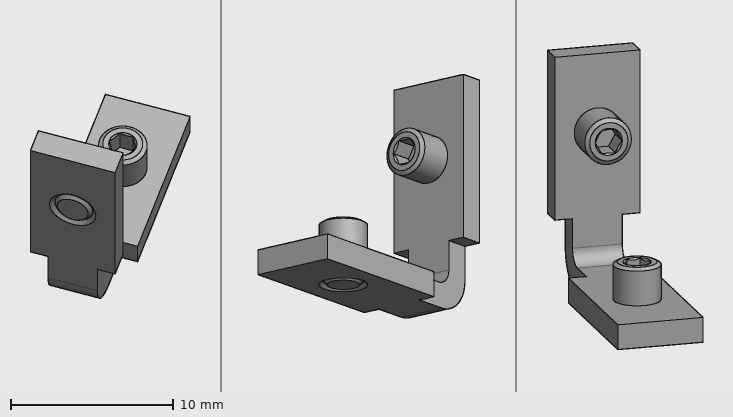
import cadquery as cq
import math

ARM_LENGTH = 15.0
WIDTH = 5.5
THICKNESS = 1.6
PAD_LENGTH = 10.5
NECK_WIDTH = 3.21
OUTER_BEND_RADIUS = 2.3
INNER_BEND_RADIUS = 0.99
HOLE_FROM_END = 5.0
HOLE_DIAMETER = 2.46

SCREW_DIAMETER = 3.0
SCREW_HEIGHT = 2.4
RIM_WIDTH = 0.27
RIM_HEIGHT = 0.16
TIP_CHAMFER = 0.22
HEX_ACROSS_FLATS = 1.5
HEX_DEPTH = 1.5
SOCKET_MOUTH_DIAMETER = 1.74

HEX_ACROSS_CORNERS = HEX_ACROSS_FLATS / math.cos(math.pi / 6)
COUNTERSINK_DEPTH = (SCREW_DIAMETER - HOLE_DIAMETER) / 2
NECK_END = ARM_LENGTH - PAD_LENGTH
HOLE_POSITION = ARM_LENGTH - HOLE_FROM_END
SCREW_LENGTH = THICKNESS + SCREW_HEIGHT


def stand_up(body):
    """Turn a body from the flat arm to the matching place on the upright arm (+Z to +Y, +Y to +Z)."""
    return body.rotate((0, 0, 0), (1, 0, 0), -90).mirror("XY")


def cone_frustum(bottom_diameter, top_diameter, height):
    """Cone section standing on the XY plane, centred on Z."""
    return cq.Workplane(cq.Solid.makeCone(bottom_diameter / 2, top_diameter / 2, height))


def make_arm_pad():
    """Wide end of the flat arm."""
    pad = cq.Workplane("XY").box(WIDTH, PAD_LENGTH, THICKNESS, centered=(True, False, False))
    return pad.translate((0, NECK_END, 0))


def make_neck():
    """Narrow L-shaped strip with a rounded bend."""
    neck = (
        cq.Workplane("YZ")
        .polyline([
            (0, 0),
            (NECK_END, 0),
            (NECK_END, THICKNESS),
            (THICKNESS, THICKNESS),
            (THICKNESS, NECK_END),
            (0, NECK_END),
        ])
        .close()
        .extrude(NECK_WIDTH / 2, both=True)
    )
    neck = neck.edges(cq.selectors.NearestToPointSelector((0, 0, 0))).fillet(OUTER_BEND_RADIUS)
    inner_corner = cq.selectors.NearestToPointSelector((0, THICKNESS, THICKNESS))
    return neck.edges(inner_corner).fillet(INNER_BEND_RADIUS)


def make_hole_cutter():
    """Through hole of the flat arm with a countersink in the outer face."""
    hole = cq.Workplane("XY").circle(HOLE_DIAMETER / 2).extrude(THICKNESS)
    countersink = cone_frustum(SCREW_DIAMETER, HOLE_DIAMETER, COUNTERSINK_DEPTH)
    return hole.union(countersink).translate((0, HOLE_POSITION, 0))


def make_bracket():
    pad = make_arm_pad()
    hole = make_hole_cutter()
    blank = make_neck().union(pad).union(stand_up(pad))
    return blank.cut(hole).cut(stand_up(hole))


def make_screw():
    """Set screw of the flat arm, socket end upward."""
    radius = SCREW_DIAMETER / 2
    shank_radius = HOLE_DIAMETER / 2
    body = (
        cq.Workplane("XZ")
        .polyline([
            (0, 0),
            (shank_radius - TIP_CHAMFER, 0),
            (shank_radius, TIP_CHAMFER),
            (shank_radius, THICKNESS),
            (radius, THICKNESS),
            (radius, SCREW_LENGTH - RIM_HEIGHT),
            (radius - RIM_WIDTH, SCREW_LENGTH),
            (0, SCREW_LENGTH),
        ])
        .close()
        .revolve(360, (0, 0, 0), (0, 1, 0))
    )
    socket = (
        cq.Workplane("XY", origin=(0, 0, SCREW_LENGTH - HEX_DEPTH))
        .polygon(6, HEX_ACROSS_CORNERS)
        .extrude(HEX_DEPTH)
    )
    mouth_depth = (SOCKET_MOUTH_DIAMETER - HEX_ACROSS_FLATS) / 2
    mouth = cone_frustum(HEX_ACROSS_FLATS, SOCKET_MOUTH_DIAMETER, mouth_depth)
    mouth = mouth.translate((0, 0, SCREW_LENGTH - mouth_depth))
    return body.cut(socket).cut(mouth).translate((0, HOLE_POSITION, 0))


bracket = make_bracket()
flat_screw = make_screw()
screws = []
for screw in (flat_screw, stand_up(flat_screw)):
    screws.append(screw.val())

result = cq.Compound.makeCompound([bracket.val(), *screws])